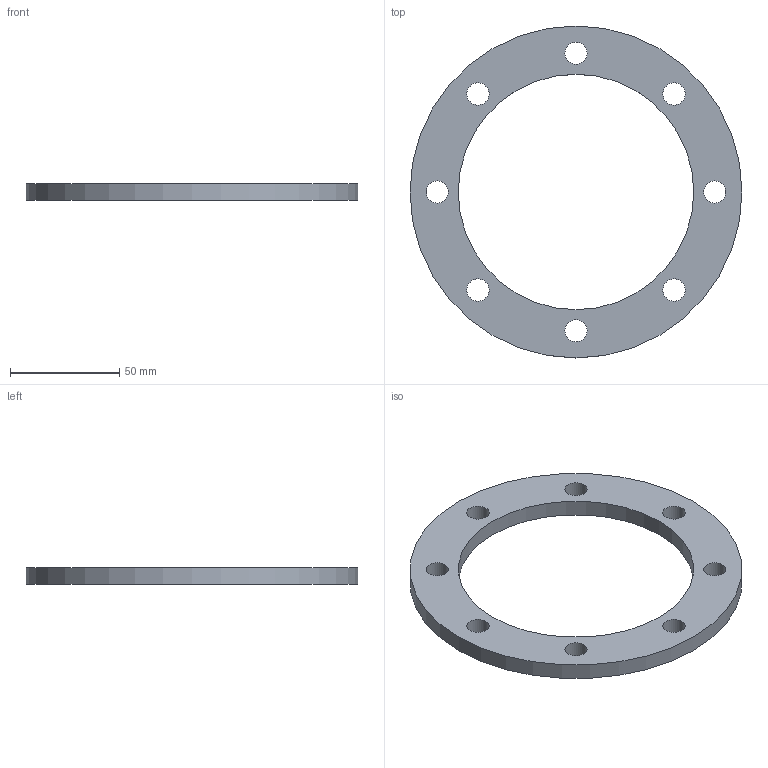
import cadquery as cq

outer_diameter = 152.0
bore_diameter = 107.8
thickness = 7.6
bolt_circle_diameter = 127.0
bolt_hole_diameter = 10.2
bolt_hole_count = 8


def ring_blank():
    """Flat ring standing on the XY plane, centred on the Z axis."""
    return (
        cq.Workplane("XY")
        .circle(outer_diameter / 2)
        .circle(bore_diameter / 2)
        .extrude(thickness)
    )


def drill_bolt_holes(ring):
    """Through holes evenly spaced on the bolt circle, the first one on +X."""
    return (
        ring.faces(">Z")
        .workplane(origin=(0, 0, thickness))
        .polarArray(bolt_circle_diameter / 2, 0, 360, bolt_hole_count)
        .hole(bolt_hole_diameter)
    )


result = drill_bolt_holes(ring_blank())